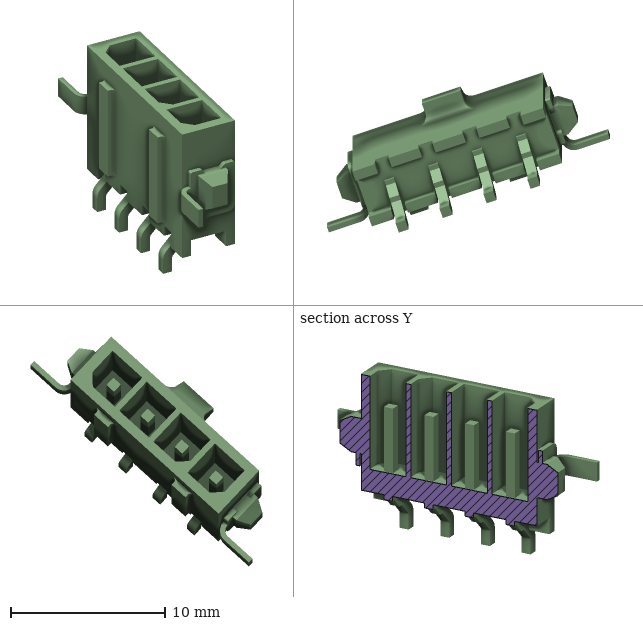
import cadquery as cq
import math


body_length = 13.05
body_depth = 3.88
body_height = 9.26
wall_foot = 0.65
recess_height = 1.16
leg_inner_x = 5.0
wall_lift = 0.405
front_y = -body_depth / 2
rear_y = body_depth / 2

pitch = 3.01
pin_size = 0.66
slot_width = 0.94
cavity_size = 2.62
cavity_key = 0.68
cavity_depth = 6.5
key_sides = [-1, 0, 1, 1]
circuit_count = len(key_sides)
circuit_x = [(i - (circuit_count - 1) / 2) * pitch for i in range(circuit_count)]

pin_tip_depth = 2.0
pin_top = body_height - pin_tip_depth
pin_foot_z = -1.9
pin_front_y = -2.44
pin_bend_radius = 0.9
pin_bend_z = -0.87
pin_heel_y = 0.45
pin_heel_z = 0.82
pin_step_y = -0.55
pin_thick_offset = 0.675

rib_spacing = 6.83
rib_width = 1.22
rib_bottom = 1.45
rib_top = 7.89
rib_front_y = -2.4
rib_flare_x = 0.245
rib_flare_y = 0.18

latch_width = 2.64
latch_rear_y = 3.23
latch_bottom = 6.31
latch_edge_top = 7.43
latch_fillet = 0.58

clip_thickness = 0.34
clip_gap = 0.07
clip_mid_z = 4.66
clip_height = 3.66
clip_rear_y = 1.72
clip_front_y = -1.53
clip_top_radius = 0.52
clip_foot_radius = 0.12
clip_slot_rear_y = 0.34
clip_slot_front_y = -0.53
clip_slot_bevel = 0.62
clip_slot_radius = 0.28
tab_height = 1.33
tab_span = 19.25
tab_end_x = tab_span / 2
tab_front_y = -2.4
peg_width = 2.05
peg_height = 2.5
peg_mid_z = 4.38
peg_straight = 0.73
peg_reach = 1.56
peg_taper_inset_y = 0.47
peg_taper_inset_z = 0.45


def block(x0, x1, y0, y1, z0, z1):
    """Box between two opposite corners."""
    return cq.Workplane("XY").box(x1 - x0, y1 - y0, z1 - z0, centered=False).translate((x0, y0, z0))


def make_housing():
    half_length = body_length / 2
    housing = block(-half_length, half_length, front_y, rear_y, 0, body_height)
    housing = housing.cut(
        block(-half_length, half_length, front_y + wall_foot, rear_y - wall_foot, 0, recess_height)
    )
    housing = housing.cut(block(-leg_inner_x, leg_inner_x, front_y, rear_y, 0, wall_lift))
    for x, side in zip(circuit_x, key_sides):
        half_slot = slot_width / 2
        housing = housing.cut(block(x - half_slot, x + half_slot, front_y, rear_y, 0, recess_height))
        housing = housing.cut(make_cavity(x, side))
    return housing


def make_cavity(x, key_side):
    half = cavity_size / 2
    floor_z = body_height - cavity_depth
    cavity = block(x - half, x + half, -half, half, floor_z, body_height)
    if key_side:
        corner = "<X and <Y" if key_side < 0 else ">X and <Y"
        cavity = cavity.edges("|Z").edges(corner).chamfer(cavity_key)
    return cavity


def make_pin(x):
    """Square post bent forward at 45 degrees below the housing, then down to a solder tail."""
    half = pin_size / 2
    sin45 = math.sqrt(0.5)
    inner_radius = pin_bend_radius - pin_size
    tail_back_y = pin_front_y + pin_size
    center_y = pin_front_y + pin_bend_radius
    center_z = pin_bend_z
    mid_angle = math.radians(180 - 45 / 2)
    outer_start = (center_y - pin_bend_radius * sin45, center_z + pin_bend_radius * sin45)
    outer_mid = (center_y + pin_bend_radius * math.cos(mid_angle),
                 center_z + pin_bend_radius * math.sin(mid_angle))
    inner_start = (center_y - inner_radius * sin45, center_z + inner_radius * sin45)
    inner_mid = (center_y + inner_radius * math.cos(mid_angle),
                 center_z + inner_radius * math.sin(mid_angle))
    front_offset = outer_start[1] - outer_start[0]
    back_offset = inner_start[1] - inner_start[0]
    step_z = pin_step_y + pin_thick_offset
    profile = (
        cq.Workplane("YZ")
        .moveTo(half, recess_height)
        .lineTo(pin_heel_y, recess_height)
        .lineTo(pin_heel_y, pin_heel_z)
        .lineTo(pin_heel_z - pin_thick_offset, pin_heel_z)
        .lineTo(pin_step_y, step_z)
        .lineTo(step_z - back_offset, step_z)
        .lineTo(*inner_start)
        .threePointArc(inner_mid, (tail_back_y, center_z))
        .lineTo(tail_back_y, pin_foot_z)
        .lineTo(pin_front_y, pin_foot_z)
        .lineTo(pin_front_y, center_z)
        .threePointArc(outer_mid, outer_start)
        .lineTo(recess_height - front_offset, recess_height)
        .close()
    )
    tail = profile.extrude(half, both=True).translate((x, 0, 0))
    post = block(x - half, x + half, -half, half, recess_height, pin_top)
    return post.union(tail)


def make_rib(x):
    """Upright rib whose sides curve out to meet the front wall."""
    half_tip = rib_width / 2
    half_root = half_tip + rib_flare_x
    neck_y = front_y - rib_flare_y
    flare_radius = (rib_flare_x**2 + rib_flare_y**2) / (2 * rib_flare_y)
    half_angle = math.atan2(rib_flare_y, rib_flare_x)
    mid_x = half_root - flare_radius * math.sin(half_angle)
    mid_y = front_y - flare_radius * (1 - math.cos(half_angle))
    profile = (
        cq.Workplane("XY", origin=(x, 0, rib_bottom))
        .moveTo(-half_root, front_y)
        .threePointArc((-mid_x, mid_y), (-half_tip, neck_y))
        .lineTo(-half_tip, rib_front_y)
        .lineTo(half_tip, rib_front_y)
        .lineTo(half_tip, neck_y)
        .threePointArc((mid_x, mid_y), (half_root, front_y))
        .close()
    )
    return profile.extrude(rib_top - rib_bottom)


def make_latch():
    """Ramp on the rear wall, filleted into the wall at its sides and underside."""
    half = latch_width / 2
    fillet_end_y = rear_y + latch_fillet
    plan = (
        cq.Workplane("XY")
        .moveTo(-half - latch_fillet, rear_y)
        .radiusArc((-half, fillet_end_y), -latch_fillet)
        .lineTo(-half, latch_rear_y)
        .lineTo(half, latch_rear_y)
        .lineTo(half, fillet_end_y)
        .radiusArc((half + latch_fillet, rear_y), -latch_fillet)
        .close()
        .extrude(body_height)
    )
    side = (
        cq.Workplane("YZ")
        .moveTo(rear_y, body_height)
        .lineTo(latch_rear_y, latch_edge_top)
        .lineTo(latch_rear_y, latch_bottom)
        .lineTo(fillet_end_y, latch_bottom)
        .radiusArc((rear_y, latch_bottom - latch_fillet), -latch_fillet)
        .close()
        .extrude(body_length / 2, both=True)
    )
    return plan.intersect(side)


def make_clip_plate():
    """Flat plate of the left clip, slotted upward from its lower edge."""
    inner_x = -body_length / 2 - clip_gap
    outer_x = inner_x - clip_thickness
    bottom_z = clip_mid_z - clip_height / 2
    top_z = clip_mid_z + clip_height / 2
    plate = block(outer_x, inner_x, clip_front_y, clip_rear_y, bottom_z, top_z)
    plate = plate.edges("|X and >Z").fillet(clip_top_radius)
    plate = plate.edges("|X and <Z").fillet(clip_foot_radius)
    slot = (
        cq.Workplane("YZ", origin=(outer_x, 0, 0))
        .moveTo(clip_slot_rear_y + clip_slot_bevel, bottom_z)
        .lineTo(clip_slot_rear_y, bottom_z + clip_slot_bevel)
        .lineTo(clip_slot_rear_y, clip_mid_z)
        .lineTo(clip_slot_front_y, clip_mid_z)
        .lineTo(clip_slot_front_y, bottom_z)
        .close()
        .extrude(clip_thickness)
    )
    plate = plate.cut(slot)
    margin = clip_foot_radius
    slot_mouth = cq.selectors.BoxSelector(
        (outer_x - margin, clip_slot_front_y - margin, bottom_z - margin),
        (inner_x + margin, clip_slot_rear_y + clip_slot_bevel + margin, bottom_z + clip_slot_bevel + margin),
    )
    return plate.edges("|X").edges(slot_mouth).fillet(clip_slot_radius)


def make_clip_tab():
    """Solder tab of the left clip, bent outward from the front edge of the plate."""
    inner_x = -body_length / 2 - clip_gap
    outer_x = inner_x - clip_thickness
    outer_radius = clip_front_y - tab_front_y
    inner_radius = outer_radius - clip_thickness
    bend_x = inner_x - outer_radius
    tab_rear_y = tab_front_y + clip_thickness
    return (
        cq.Workplane("XY", origin=(0, 0, clip_mid_z))
        .moveTo(inner_x, clip_front_y)
        .radiusArc((bend_x, tab_front_y), outer_radius)
        .lineTo(-tab_end_x, tab_front_y)
        .lineTo(-tab_end_x, tab_rear_y)
        .lineTo(bend_x, tab_rear_y)
        .radiusArc((outer_x, clip_front_y), -inner_radius)
        .close()
        .extrude(tab_height / 2, both=True)
    )


def make_peg():
    """Peg on the left end wall: a straight root, then four tapering faces."""
    wall_x = -body_length / 2
    shoulder_x = wall_x - peg_straight
    root = block(
        shoulder_x, wall_x,
        -peg_width / 2, peg_width / 2,
        peg_mid_z - peg_height / 2, peg_mid_z + peg_height / 2,
    )
    taper = (
        cq.Workplane("YZ", origin=(shoulder_x, 0, peg_mid_z))
        .rect(peg_width, peg_height)
        .workplane(offset=peg_straight - peg_reach)
        .rect(peg_width - 2 * peg_taper_inset_y, peg_height - 2 * peg_taper_inset_z)
        .loft()
    )
    return root.union(taper)


left_side = make_clip_plate().union(make_clip_tab()).union(make_peg())
right_side = left_side.rotate((0, 0, clip_mid_z), (0, 1, clip_mid_z), 180)

result = make_housing().union(make_latch()).union(left_side).union(right_side)
for rib_x in (-rib_spacing / 2, rib_spacing / 2):
    result = result.union(make_rib(rib_x))
for pin_x in circuit_x:
    result = result.union(make_pin(pin_x))